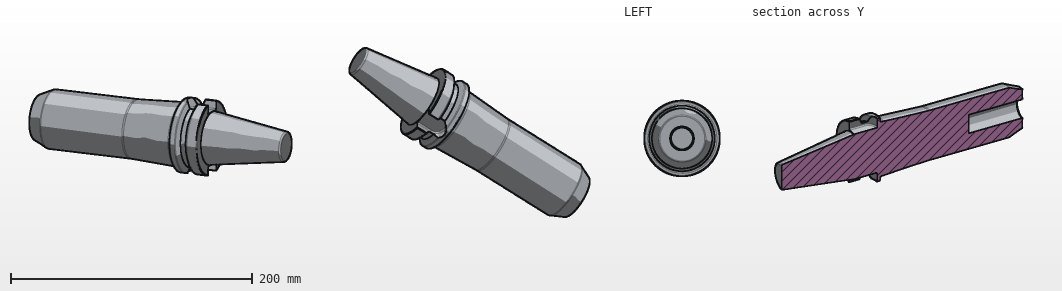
import cadquery as cq
import math

GAUGE_DIAMETER = 44.45
TAPER_RATIO = 7 / 24
SHANK_LENGTH = 65.4
SHANK_END_FILLET = 1.5

FLANGE_DIAMETER = 63.0
FLANGE_REAR_X = -2.0
FLANGE_WIDTH = 25.0
FLANGE_FRONT_X = FLANGE_REAR_X - FLANGE_WIDTH
FLANGE_FRONT_ROUND = 1.0
FLANGE_REAR_ROUND = 0.5

GROOVE_CENTRE_X = -16.5
GROOVE_FLOOR_DIAMETER = 53.0
GROOVE_FLOOR_WIDTH = 4.6
GROOVE_HALF_ANGLE = math.radians(30)
GROOVE_EDGE_ROUND = 0.8

SLOT_WIDTH = 16.1
SLOT_LENGTH = 22.0
SLOT_FLOOR_HEIGHT = 22.6
SLOT_FLOOR_FILLET = 1.0
SLOT_RIM_CHAMFER = 0.6

NOSE_X = -160.0
NOSE_DIAMETER = 38.6
NOSE_CONE_LENGTH = 12.7
NOSE_TIP_ROUND = 1.0
NOSE_SHOULDER_ROUND = 2.0
BODY_DIAMETER = 50.0
NECK_START_X = -72.3
NECK_END_DIAMETER = 54.4
NECK_COLLAR_LENGTH = 1.5
NECK_FILLET = 1.5
NECK_BLEND_RADIUS = 30.0

BORE_DIAMETER = 18.0
BORE_DEPTH = 50.0
BORE_CHAMFER = 1.0

TOLERANCE = 1e-4


def revolve_about_x(profile):
    return profile.close().revolve(360, (0, 0, 0), (1, 0, 0))


def round_circle(solid, x, diameter, radius):
    """Fillet the circular edge of the given diameter that lies at x."""
    def is_ring(edge):
        same_place = abs(edge.Center().x - x) < TOLERANCE
        return same_place and abs(edge.radius() - diameter / 2) < TOLERANCE

    return solid.edges("%CIRCLE").filter(is_ring).fillet(radius)


def make_body():
    """Nose, cylinder, flared neck and flange blank with all rims rounded."""
    nose_shoulder_x = NOSE_X + NOSE_CONE_LENGTH
    neck_end_x = FLANGE_FRONT_X - NECK_FILLET - NECK_COLLAR_LENGTH
    body_radius = BODY_DIAMETER / 2
    neck_radius = NECK_END_DIAMETER / 2
    flare_angle = math.atan2(neck_radius - body_radius, neck_end_x - NECK_START_X)
    blend_tangent = NECK_BLEND_RADIUS * math.tan(flare_angle / 2)
    blend_end = (
        NECK_START_X + blend_tangent * math.cos(flare_angle),
        body_radius + blend_tangent * math.sin(flare_angle),
    )
    profile = (
        cq.Workplane("XY")
        .moveTo(NOSE_X, 0)
        .lineTo(NOSE_X, NOSE_DIAMETER / 2)
        .lineTo(nose_shoulder_x, body_radius)
        .lineTo(NECK_START_X - blend_tangent, body_radius)
        .tangentArcPoint(blend_end, relative=False)
        .lineTo(neck_end_x, neck_radius)
        .lineTo(FLANGE_FRONT_X, neck_radius)
        .lineTo(FLANGE_FRONT_X, FLANGE_DIAMETER / 2)
        .lineTo(FLANGE_REAR_X, FLANGE_DIAMETER / 2)
        .lineTo(FLANGE_REAR_X, 0)
    )
    body = revolve_about_x(profile)
    rounds = (
        (NOSE_X, NOSE_DIAMETER, NOSE_TIP_ROUND),
        (nose_shoulder_x, BODY_DIAMETER, NOSE_SHOULDER_ROUND),
        (FLANGE_FRONT_X, NECK_END_DIAMETER, NECK_FILLET),
        (FLANGE_FRONT_X, FLANGE_DIAMETER, FLANGE_FRONT_ROUND),
        (FLANGE_REAR_X, FLANGE_DIAMETER, FLANGE_REAR_ROUND),
    )
    for x, diameter, radius in rounds:
        body = round_circle(body, x, diameter, radius)
    return body


def make_shank():
    """7/24 taper shank with a rounded small end."""
    def taper_radius(x):
        return (GAUGE_DIAMETER - TAPER_RATIO * x) / 2

    profile = (
        cq.Workplane("XY")
        .moveTo(FLANGE_REAR_X, 0)
        .lineTo(FLANGE_REAR_X, taper_radius(FLANGE_REAR_X))
        .lineTo(SHANK_LENGTH, taper_radius(SHANK_LENGTH))
        .lineTo(SHANK_LENGTH, 0)
    )
    return revolve_about_x(profile).faces(">X").edges().fillet(SHANK_END_FILLET)


def cut_groove(solid):
    """Remove the vee ring from the flange rim and round its outer edges."""
    floor_radius = GROOVE_FLOOR_DIAMETER / 2
    rim_radius = FLANGE_DIAMETER / 2
    half_floor = GROOVE_FLOOR_WIDTH / 2
    half_rim = half_floor + (rim_radius - floor_radius) * math.tan(GROOVE_HALF_ANGLE)
    profile = (
        cq.Workplane("XY")
        .moveTo(GROOVE_CENTRE_X - half_floor, floor_radius)
        .lineTo(GROOVE_CENTRE_X - half_rim, rim_radius)
        .lineTo(GROOVE_CENTRE_X + half_rim, rim_radius)
        .lineTo(GROOVE_CENTRE_X + half_floor, floor_radius)
    )
    grooved = solid.cut(revolve_about_x(profile))
    for side in (1, -1):
        rim_x = GROOVE_CENTRE_X + side * half_rim
        grooved = round_circle(grooved, rim_x, FLANGE_DIAMETER, GROOVE_EDGE_ROUND)
    return grooved


def make_slot(side):
    """Round-ended drive slot, open to the rear; side is +1 for +Z, -1 for -Z."""
    half_width = SLOT_WIDTH / 2
    end_x = FLANGE_REAR_X - SLOT_LENGTH
    arc_x = end_x + half_width
    height = FLANGE_DIAMETER / 2 - SLOT_FLOOR_HEIGHT
    slot = (
        cq.Workplane("XY", origin=(0, 0, SLOT_FLOOR_HEIGHT))
        .moveTo(FLANGE_REAR_X, -half_width)
        .lineTo(arc_x, -half_width)
        .threePointArc((end_x, 0), (arc_x, half_width))
        .lineTo(FLANGE_REAR_X, half_width)
        .close()
        .extrude(height)
    )
    slot = slot.faces("<Z").edges("not >X").fillet(SLOT_FLOOR_FILLET)
    return slot if side > 0 else slot.mirror("XY")


def make_bore():
    """Blind tool bore with a chamfered mouth."""
    radius = BORE_DIAMETER / 2
    profile = (
        cq.Workplane("XY")
        .moveTo(NOSE_X, 0)
        .lineTo(NOSE_X, radius + BORE_CHAMFER)
        .lineTo(NOSE_X + BORE_CHAMFER, radius)
        .lineTo(NOSE_X + BORE_DEPTH, radius)
        .lineTo(NOSE_X + BORE_DEPTH, 0)
    )
    return revolve_about_x(profile)


def make_slot_rim_chamfers():
    """Wedges that break the four straight edges where the slot walls meet the rear rim."""
    half_width = SLOT_WIDTH / 2
    rim_height = math.sqrt((FLANGE_DIAMETER / 2) ** 2 - half_width**2)
    start_height = rim_height - SLOT_RIM_CHAMFER
    wedge_size = 2 * SLOT_RIM_CHAMFER
    wedge = (
        cq.Workplane("YZ", origin=(GROOVE_CENTRE_X, 0, 0))
        .moveTo(half_width, start_height)
        .lineTo(half_width + wedge_size, start_height + wedge_size)
        .lineTo(half_width, start_height + wedge_size)
        .close()
        .extrude(FLANGE_REAR_X - GROOVE_CENTRE_X)
    )
    pair = wedge.union(wedge.mirror("XZ"))
    return pair.union(pair.mirror("XY"))


holder = cut_groove(make_body()).union(make_shank()).cut(make_bore())
for slot_side in (1, -1):
    holder = holder.cut(make_slot(slot_side))

result = holder.cut(make_slot_rim_chamfers())